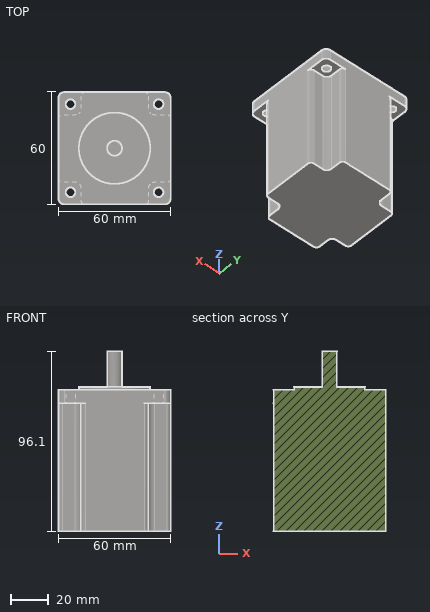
import cadquery as cq

total_height = 96.1
width = 60.0

flange_top = 75.5
flange_thickness = 7.1
flange_corner_radius = 3.2
hole_diameter = 5.0
hole_spacing = 47.0

body_height = flange_top - flange_thickness
notch_size = 12.0
notch_outer_radius = 2.2
notch_inner_radius = 3.2

pilot_diameter = 38.1
pilot_height = 1.5
shaft_diameter = 8.0


def make_bar(size_x, size_y):
    """Upright rectangular bar with rounded vertical edges."""
    bar = cq.Workplane("XY").rect(size_x, size_y).extrude(body_height)
    return bar.edges("|Z").fillet(notch_outer_radius)


def make_body():
    """Two crossed bars, with the inner corners of the notches rounded."""
    core_width = width - 2 * notch_size
    body = make_bar(width, core_width).union(make_bar(core_width, width))
    half_box = (width - notch_size) / 2
    inner_corners = cq.selectors.BoxSelector(
        (-half_box, -half_box, 0), (half_box, half_box, body_height)
    )
    return body.edges("|Z").edges(inner_corners).fillet(notch_inner_radius)


def make_flange():
    """Rounded square plate with four mounting holes."""
    base = cq.Workplane("XY").workplane(offset=body_height)
    plate = base.rect(width, width).extrude(flange_thickness)
    plate = plate.edges("|Z").fillet(flange_corner_radius)
    holes = plate.faces(">Z").workplane().rect(hole_spacing, hole_spacing, forConstruction=True)
    return holes.vertices().hole(hole_diameter)


def make_cylinder(diameter, bottom, top):
    """Upright cylinder on the motor axis."""
    return cq.Workplane("XY").workplane(offset=bottom).circle(diameter / 2).extrude(top - bottom)


pilot_top = flange_top + pilot_height
pilot = make_cylinder(pilot_diameter, flange_top, pilot_top)
shaft = make_cylinder(shaft_diameter, pilot_top, total_height)

result = make_body().union(make_flange()).union(pilot).union(shaft)